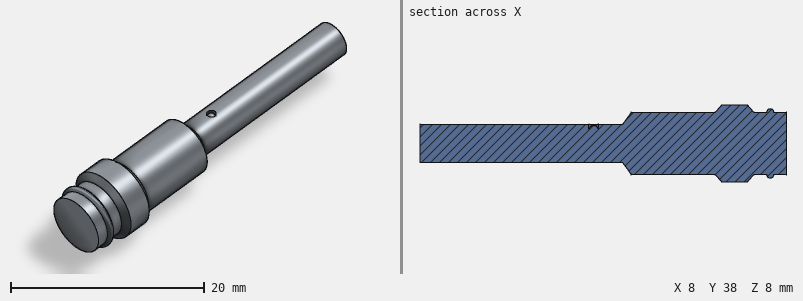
import cadquery as cq

total_length = 38.0
stem_diameter = 4.0
body_diameter = 6.5
collar_diameter = 8.0

collar_start = 3.4
collar_end = 7.4
collar_chamfer_length = 0.65
shoulder_start = 16.1
shoulder_end = 17.0

ring_center = 1.7
ring_wire_radius = 0.375

hole_position = 20.0
hole_diameter = 1.0
pip_top_depth = 0.125


def make_turned_body():
    """Stem, shoulder, body and chamfered collar as one revolved profile."""
    stem_radius = stem_diameter / 2
    body_radius = body_diameter / 2
    collar_radius = collar_diameter / 2
    profile = (
        cq.Workplane("XY")
        .moveTo(0, 0)
        .lineTo(body_radius, 0)
        .lineTo(body_radius, collar_start)
        .lineTo(collar_radius, collar_start + collar_chamfer_length)
        .lineTo(collar_radius, collar_end - collar_chamfer_length)
        .lineTo(body_radius, collar_end)
        .lineTo(body_radius, shoulder_start)
        .lineTo(stem_radius, shoulder_end)
        .lineTo(stem_radius, total_length)
        .lineTo(0, total_length)
        .close()
    )
    return profile.revolve(360, (0, 0, 0), (0, 1, 0))


def make_snap_ring():
    """Torus whose wire is centred on the plug surface."""
    section = cq.Workplane("XY").center(body_diameter / 2, ring_center).circle(ring_wire_radius)
    return section.revolve(360, (-body_diameter / 2, 0, 0), (-body_diameter / 2, 1, 0))


def make_hole_cutter():
    """Cylinder sunk from +Z whose floor is a convex hemisphere as wide as the hole."""
    radius = hole_diameter / 2
    floor = stem_diameter / 2 - pip_top_depth - radius
    cylinder = cq.Workplane("XY").workplane(offset=floor).circle(radius).extrude(pip_top_depth + radius)
    pip = cq.Workplane("XY").sphere(radius).translate((0, 0, floor))
    return cylinder.cut(pip).translate((0, hole_position, 0))


contact = make_turned_body().union(make_snap_ring()).cut(make_hole_cutter())
result = contact.translate((0, -total_length / 2, 0))